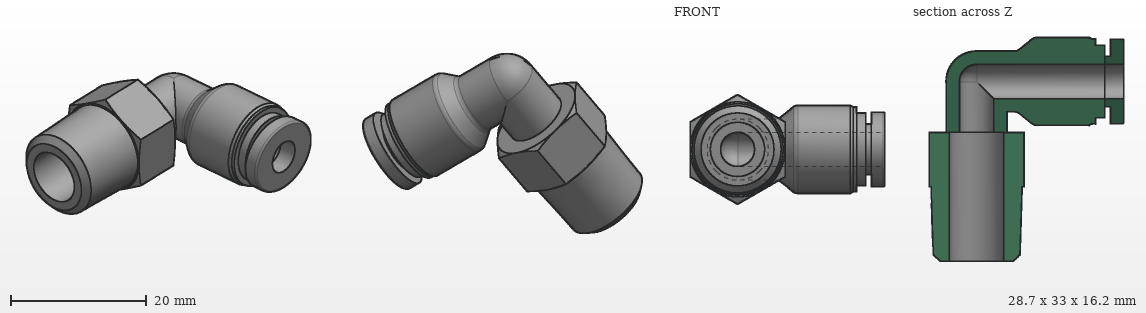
import cadquery as cq
import math


bore_d = 5.0
arm_d = 9.0

stud_tip = 26.5
tip_d = 10.75
thread_small_d = 12.85
thread_taper = 1 / 16
tip_chamfer_length = 1.0
thread_length = 11.0
hex_length = 8.02
hex_sides = 6
hex_flats = 14.0
hex_chamfer_angle = 20
stud_bore_d = 8.0

collar_d = 13.0
collar_rim_d = 12.55
collar_seat_d = 10.75
cone_start = 6.0
cone_end = 8.48
cone_blend_radius = 1.1
collar_cylinder_end = 16.55
rim_start = 17.03
rim_end = 17.52
seat_end = 18.9

neck_d = 7.5
flange_start = 19.7
flange_end = 21.7
flange_height_y = 12.47
flange_height_z = 11.02
flange_rounding = 0.3

hex_front = stud_tip - thread_length
hex_back = hex_front - hex_length


def cylinder_x(diameter, start, end):
    """Round bar on the X axis."""
    return cq.Workplane("YZ", origin=(start, 0, 0)).circle(diameter / 2).extrude(end - start)


def cylinder_minus_y(diameter, start, end):
    """Round bar on the Y axis; distances are counted from the origin towards -Y."""
    return cq.Workplane("XZ", origin=(0, -start, 0)).circle(diameter / 2).extrude(end - start)


def bent_bar(diameter, length_x, length_y):
    """Two round bars meeting at the origin, with a ball rounding the outer corner."""
    ball = cq.Workplane("XY").sphere(diameter / 2)
    return cylinder_x(diameter, 0, length_x).union(cylinder_minus_y(diameter, 0, length_y)).union(ball)


def make_thread():
    """Solid taper-thread envelope with a chamfered tip."""
    chamfer_start = stud_tip - tip_chamfer_length
    base_d = thread_small_d + thread_taper * (chamfer_start - hex_front)
    outline = [
        (0, -hex_front),
        (base_d / 2, -hex_front),
        (thread_small_d / 2, -chamfer_start),
        (tip_d / 2, -stud_tip),
        (0, -stud_tip),
    ]
    return cq.Workplane("XY").polyline(outline).close().revolve(360, (0, 0), (0, 1))


def make_hexagon():
    """Hexagon with corners on +Z and -Z, conically chamfered at both ends."""
    corner_d = hex_flats / math.cos(math.pi / hex_sides)
    hexagon = (
        cq.Workplane("XZ", origin=(0, -hex_back, 0))
        .transformed(rotate=(0, 0, 90))
        .polygon(hex_sides, corner_d)
        .extrude(hex_length)
    )
    chamfer_height = (corner_d - hex_flats) / 2 * math.tan(math.radians(hex_chamfer_angle))
    outline = [
        (0, -hex_back),
        (hex_flats / 2, -hex_back),
        (corner_d / 2, -hex_back - chamfer_height),
        (corner_d / 2, -hex_front + chamfer_height),
        (hex_flats / 2, -hex_front),
        (0, -hex_front),
    ]
    envelope = cq.Workplane("XY").polyline(outline).close().revolve(360, (0, 0), (0, 1))
    return hexagon.intersect(envelope)


def make_stud():
    bore = cylinder_minus_y(stud_bore_d, hex_back, stud_tip)
    return make_hexagon().union(make_thread()).cut(bore)


def make_collar():
    """Solid collar turned about X: flared cone, grip cylinder, narrower rim and seat for the ring."""
    cone_angle = math.atan2((collar_d - arm_d) / 2, cone_end - cone_start)
    tangent = cone_blend_radius * math.tan(cone_angle / 2)
    tangent_x = tangent * math.cos(cone_angle)
    tangent_r = tangent * math.sin(cone_angle)
    middle_x = cone_blend_radius * math.sin(cone_angle / 2)
    middle_r = cone_blend_radius * (1 - math.cos(cone_angle / 2))
    inner_start = cone_start - tangent
    outer_end = cone_end + tangent
    arm_r = arm_d / 2
    collar_r = collar_d / 2
    profile = (
        cq.Workplane("XY")
        .moveTo(inner_start, 0)
        .lineTo(inner_start, arm_r)
        .threePointArc((inner_start + middle_x, arm_r + middle_r), (cone_start + tangent_x, arm_r + tangent_r))
        .lineTo(cone_end - tangent_x, collar_r - tangent_r)
        .threePointArc((outer_end - middle_x, collar_r - middle_r), (outer_end, collar_r))
        .lineTo(collar_cylinder_end, collar_r)
        .lineTo(rim_start, collar_rim_d / 2)
        .lineTo(rim_end, collar_rim_d / 2)
        .lineTo(rim_end, collar_seat_d / 2)
        .lineTo(seat_end, collar_seat_d / 2)
        .lineTo(seat_end, 0)
        .close()
    )
    return profile.revolve(360, (0, 0), (1, 0))


def make_elbow():
    arms = bent_bar(arm_d, cone_start, hex_back)
    passage = bent_bar(bore_d, seat_end, hex_back)
    return arms.union(make_collar()).cut(passage)


def make_release_ring():
    neck = cylinder_x(neck_d, seat_end, flange_start)
    flange = (
        cq.Workplane("YZ", origin=(flange_start, 0, 0))
        .ellipse(flange_height_y / 2, flange_height_z / 2)
        .extrude(flange_end - flange_start)
        .faces(">X")
        .fillet(flange_rounding)
    )
    return neck.union(flange).cut(cylinder_x(bore_d, seat_end, flange_end))


stud = make_stud()
elbow = make_elbow()
release_ring = make_release_ring()

result = cq.Compound.makeCompound([stud.val(), elbow.val(), release_ring.val()])